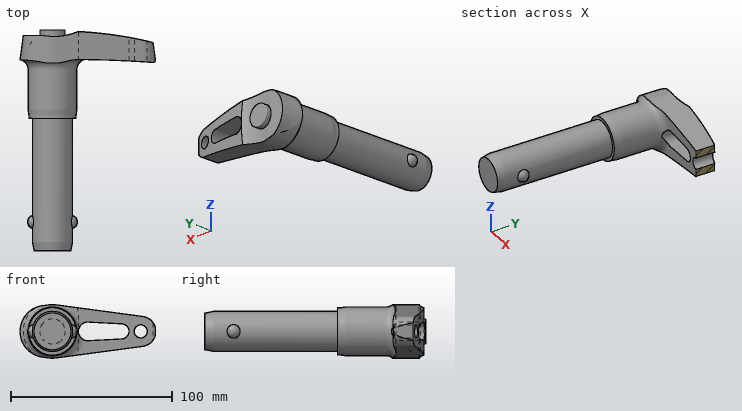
import math

import cadquery as cq


shank_radius = 12.5
nose_radius = 11.4
nose_length = 5.4

ball_radius = 4.25
ball_reach = 15.45
ball_y = 17.9

sleeve_radius = 15.15
sleeve_end_radius = 14.7
sleeve_start_y = 82.1
sleeve_lip_y = 84.0
sleeve_taper_y = 87.3

button_radius = 7.8
button_edge_radius = 0.4
button_top_y = 136.8

head_radius = 16.65
tip_radius = 9.4
tip_x = 54.6
rear_x = -4.0
taper_sin = (head_radius - tip_radius) / tip_x
taper_cos = math.sqrt(1 - taper_sin**2)
rear_radius = head_radius + rear_x * taper_sin
rear_reach = rear_radius - rear_x
tip_reach = tip_x + tip_radius

handle_base_y = 118.4
tip_base_y = 116.4
base_curve_start_x = 12
tip_corner_radius = 1.5
tip_top_x = 62.3
tip_top_y = 129.0
head_top_y = 133.4
head_flat_end_x = -8.5
dip_y = 132.7
dip_x = 0.0
hump_x = 16.3
hump_y = 135.9
hump_slope = 0.4

crown_mid_x = 40.0
crown_mid_y = 133.5

rear_top_radius = 18.1

flare_radius = 6.2
flare_start_y = handle_base_y - flare_radius
flare_end_radius = sleeve_radius + flare_radius

slot_inner_x = 21.8
slot_inner_radius = 5.7
slot_outer_x = 42.7
slot_outer_radius = 4.6
tip_hole_radius = 4.0


def tangent_point(centre_x, radius, tilt, side):
    """Point on an arc where a line tapering to +X (tilt 1) or -X (tilt -1) leaves it."""
    return (centre_x + tilt * radius * taper_sin, side * radius * taper_cos)


def revolve_about_pin(profile):
    return profile.close().revolve(360, (0, 0), (0, 1))


def make_outline():
    """Tapered outline of the handle, extruded along the pin."""
    return (
        cq.Workplane("XZ")
        .moveTo(*tangent_point(0, head_radius, -1, 1))
        .threePointArc((0, head_radius), tangent_point(0, head_radius, 1, 1))
        .lineTo(*tangent_point(tip_x, tip_radius, 1, 1))
        .threePointArc((tip_reach, 0), tangent_point(tip_x, tip_radius, 1, -1))
        .lineTo(*tangent_point(0, head_radius, 1, -1))
        .threePointArc((0, -head_radius), tangent_point(0, head_radius, -1, -1))
        .lineTo(*tangent_point(rear_x, rear_radius, -1, -1))
        .threePointArc((-rear_reach, 0), tangent_point(rear_x, rear_radius, -1, 1))
        .close()
        .extrude(-button_top_y)
    )


def make_side_profile():
    """Side shape of the handle with the finger dip and the raked tip, extruded along Z."""
    rake = (tip_reach - tip_top_x) / (tip_top_y - tip_base_y)
    tip_x_at_hump = tip_reach - rake * (hump_y - tip_base_y)
    profile = (
        cq.Workplane("XY")
        .moveTo(-rear_reach, handle_base_y)
        .lineTo(base_curve_start_x, handle_base_y)
        .tangentArcPoint((tip_reach, tip_base_y), relative=False)
        .lineTo(tip_x_at_hump, hump_y)
        .lineTo(hump_x, hump_y)
        .spline(
            [(dip_x, dip_y), (head_flat_end_x, head_top_y)],
            tangents=[(-1, -hump_slope), (-1, 0)],
            includeCurrent=True,
        )
        .lineTo(-rear_reach, head_top_y)
        .close()
        .extrude(head_radius, both=True)
    )
    tip_corner = cq.selectors.NearestToPointSelector((tip_reach, tip_base_y, 0))
    return profile.edges(tip_corner).fillet(tip_corner_radius)


def make_crown():
    """Body of revolution whose top slopes from the hump down to the tip."""
    profile = (
        cq.Workplane("XY")
        .moveTo(0, 0)
        .lineTo(0, hump_y)
        .lineTo(hump_x, hump_y)
        .threePointArc((crown_mid_x, crown_mid_y), (tip_top_x, tip_top_y))
        .lineTo(tip_reach, tip_top_y)
        .lineTo(tip_reach, 0)
    )
    return revolve_about_pin(profile)


def make_rear_cone_waste():
    """Material behind the pin axis that lies outside the conical rear face."""
    profile = (
        cq.Workplane("XY")
        .moveTo(rear_reach, handle_base_y)
        .lineTo(rear_top_radius, head_top_y)
        .lineTo(rear_top_radius, hump_y)
        .lineTo(tip_reach, hump_y)
        .lineTo(tip_reach, handle_base_y)
        .close()
    )
    return profile.revolve(180, (0, 0), (0, 1)).rotate((0, 0, 0), (0, 1, 0), 90)


def make_flare():
    """Concave neck that opens from the sleeve to the underside of the handle."""
    arc_middle = flare_radius * math.sqrt(0.5)
    profile = (
        cq.Workplane("XY")
        .moveTo(0, flare_start_y)
        .lineTo(sleeve_radius, flare_start_y)
        .threePointArc(
            (flare_end_radius - arc_middle, flare_start_y + arc_middle),
            (flare_end_radius, handle_base_y),
        )
        .lineTo(0, handle_base_y)
    )
    return revolve_about_pin(profile)


def make_openings():
    """Tapered slot and tip hole, as bodies to cut from the handle."""
    slot_sin = (slot_inner_radius - slot_outer_radius) / (slot_outer_x - slot_inner_x)
    slot_cos = math.sqrt(1 - slot_sin**2)
    inner_x = slot_inner_x + slot_inner_radius * slot_sin
    inner_z = slot_inner_radius * slot_cos
    outer_x = slot_outer_x + slot_outer_radius * slot_sin
    outer_z = slot_outer_radius * slot_cos
    slot = (
        cq.Workplane("XZ")
        .moveTo(inner_x, inner_z)
        .lineTo(outer_x, outer_z)
        .threePointArc((slot_outer_x + slot_outer_radius, 0), (outer_x, -outer_z))
        .lineTo(inner_x, -inner_z)
        .threePointArc((slot_inner_x - slot_inner_radius, 0), (inner_x, inner_z))
        .close()
        .extrude(-button_top_y)
    )
    tip_hole = cq.Workplane("XZ").center(tip_x, 0).circle(tip_hole_radius).extrude(-button_top_y)
    return slot.union(tip_hole)


def make_handle():
    outline = make_outline()
    handle = make_side_profile().intersect(outline).intersect(make_crown())
    handle = handle.cut(make_rear_cone_waste())
    flare = make_flare().intersect(outline)
    return handle.union(flare).cut(make_openings())


def make_pin():
    """Shank with tapered nose and stepped sleeve, reaching into the handle."""
    profile = (
        cq.Workplane("XY")
        .moveTo(0, 0)
        .lineTo(nose_radius, 0)
        .lineTo(shank_radius, nose_length)
        .lineTo(shank_radius, sleeve_start_y)
        .lineTo(sleeve_end_radius, sleeve_start_y)
        .lineTo(sleeve_end_radius, sleeve_lip_y)
        .lineTo(sleeve_radius, sleeve_taper_y)
        .lineTo(sleeve_radius, flare_start_y)
        .lineTo(0, flare_start_y)
    )
    return revolve_about_pin(profile)


def make_button():
    return (
        cq.Workplane("XZ", origin=(0, handle_base_y, 0))
        .circle(button_radius)
        .extrude(handle_base_y - button_top_y)
        .faces(">Y")
        .edges()
        .fillet(button_edge_radius)
    )


def make_ball(side):
    ball_x = side * (ball_reach - ball_radius)
    return cq.Workplane("XY").sphere(ball_radius).translate((ball_x, ball_y, 0))


result = make_pin().union(make_handle()).union(make_button())
for ball_side in (-1, 1):
    result = result.union(make_ball(ball_side))